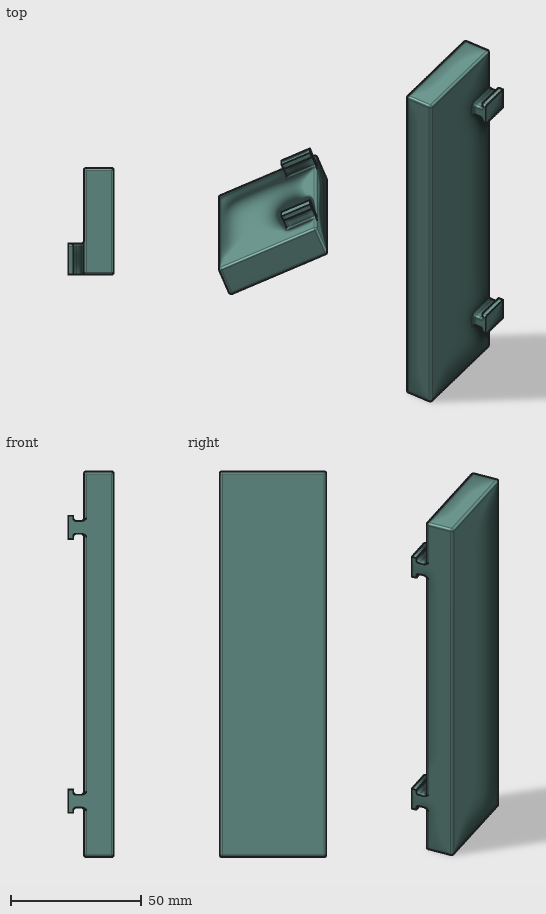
import cadquery as cq

PLATE_THICKNESS = 11.5
PLATE_WIDTH = 41.0
PLATE_HEIGHT = 148.0
EDGE_RADIUS = 1.0

HOOK_SPACING = 105.0
HOOK_LENGTH = 12.0
HOOK_REACH = 6.0
FLANGE_HEIGHT = 9.0
FLANGE_THICKNESS = 2.0
NECK_HEIGHT = 5.0
FLANGE_ROOT_RADIUS = 1.0
HOOK_END_RADIUS = 1.0
NECK_ROOT_RADIUS = 1.0

OVERRUN = 4 * EDGE_RADIUS
NECK_DEPTH = 5 * EDGE_RADIUS
TOLERANCE = 0.01


def make_plate():
    """Rectangular plate with every edge rounded."""
    plate = cq.Workplane("XY").box(
        PLATE_THICKNESS, PLATE_WIDTH, PLATE_HEIGHT, centered=(False, False, True)
    )
    return plate.edges().fillet(EDGE_RADIUS)


def make_hook_bar(x_start, x_end, height):
    """Bar along Y over the hook length and its overrun, centred on Z."""
    bar = cq.Workplane("XY").box(
        x_end - x_start, HOOK_LENGTH + OVERRUN, height, centered=(False, False, True)
    )
    return bar.translate((x_start, -OVERRUN, 0))


def round_flange_roots(hook):
    """Fill the two inner corners between neck and flange."""
    inner_face_x = FLANGE_THICKNESS - HOOK_REACH
    half_height = NECK_HEIGHT / 2 + TOLERANCE
    roots = cq.selectors.BoxSelector(
        (inner_face_x - TOLERANCE, -OVERRUN, -half_height),
        (inner_face_x + TOLERANCE, HOOK_LENGTH, half_height),
    )
    return hook.edges("|Y").edges(roots).fillet(FLANGE_ROOT_RADIUS)


def round_hook_end(hook):
    """Round the free end along its outline, leaving the outer face and the buried edge sharp."""
    end_edges = hook.faces(">Y").edges()
    return end_edges.edges("not(<X or >X)").fillet(HOOK_END_RADIUS)


def make_hook(z_center):
    """T-profile hook with a rounded free end."""
    flange = make_hook_bar(-HOOK_REACH, FLANGE_THICKNESS - HOOK_REACH, FLANGE_HEIGHT)
    neck = make_hook_bar(-HOOK_REACH, NECK_DEPTH, NECK_HEIGHT)
    hook = round_flange_roots(flange.union(neck))
    return round_hook_end(hook).translate((0, 0, z_center))


def round_neck_root(body, z_center):
    """Blend the neck into the back face and around the rounded edge of the plate."""
    half_height = NECK_HEIGHT / 2 + TOLERANCE
    root = cq.selectors.BoxSelector(
        (-TOLERANCE, -TOLERANCE, z_center - half_height),
        (EDGE_RADIUS + TOLERANCE, HOOK_LENGTH + TOLERANCE, z_center + half_height),
        boundingbox=True,
    )
    return body.edges(root).fillet(NECK_ROOT_RADIUS)


def trim_overrun(body):
    """Cut everything that stands out past the Y = 0 side."""
    waste = cq.Workplane("XY").box(
        2 * (PLATE_THICKNESS + HOOK_REACH), OVERRUN, PLATE_HEIGHT, centered=(True, False, True)
    )
    return body.cut(waste.translate((0, -OVERRUN, 0)))


result = make_plate()
for hook_z in (-HOOK_SPACING / 2, HOOK_SPACING / 2):
    result = result.union(make_hook(hook_z))
    result = round_neck_root(result, hook_z)
result = trim_overrun(result)